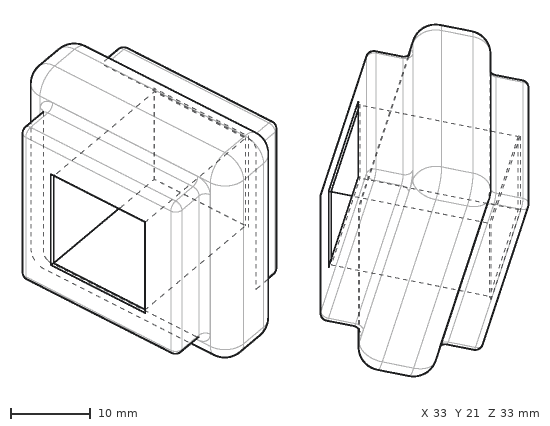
import cadquery as cq

COLLAR_SIZE = 33.0
COLLAR_LENGTH = 10.0
COLLAR_RADIUS = 2.97

SLEEVE_SIZE = 25.0
SLEEVE_LENGTH = 21.0
SLEEVE_RADIUS = 1.0

BORE_SIZE = 14.5
BORE_CHAMFER = 0.25

TOLERANCE = 0.03


def square_block(size, length):
    """Square bar along Y, centred on the origin."""
    return cq.Workplane("XY").box(size, length, size)


def junction_edges(side):
    """Box around the edges where the sleeve leaves the collar face on one side of Y."""
    reach = SLEEVE_SIZE / 2 + TOLERANCE
    face_y = side * COLLAR_LENGTH / 2
    return cq.selectors.BoxSelector(
        (-reach, face_y - TOLERANCE, -reach),
        (reach, face_y + TOLERANCE, reach),
    )


def mouth_bevel(side):
    """Square frustum that widens the hole towards one end face."""
    mouth_size = BORE_SIZE + 2 * BORE_CHAMFER
    inner_y = side * (SLEEVE_LENGTH / 2 - BORE_CHAMFER)
    return (
        cq.Workplane("XZ", origin=(0, inner_y, 0))
        .rect(BORE_SIZE, BORE_SIZE)
        .workplane(offset=-side * BORE_CHAMFER)
        .rect(mouth_size, mouth_size)
        .loft(ruled=True)
    )


collar = square_block(COLLAR_SIZE, COLLAR_LENGTH).edges().fillet(COLLAR_RADIUS)
sleeve = square_block(SLEEVE_SIZE, SLEEVE_LENGTH).edges().fillet(SLEEVE_RADIUS)
result = collar.union(sleeve)

for end in (-1, 1):
    result = result.edges(junction_edges(end)).fillet(SLEEVE_RADIUS)

result = result.cut(square_block(BORE_SIZE, SLEEVE_LENGTH))
for end in (-1, 1):
    result = result.cut(mouth_bevel(end))